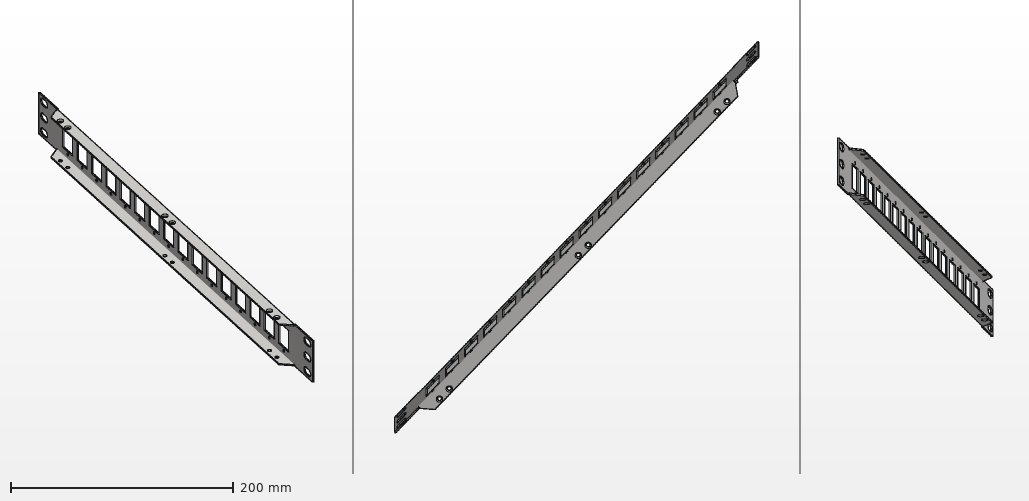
import cadquery as cq

panel_length = 482.5
panel_height = 44.0
sheet = 1.5
rack_inch = panel_length / 19
panel_top = panel_height / 2

flange_reach = 12.5
flange_root_length = 418.5
flange_tip_length = 402.0
bend_radius = 0.5
bend_outer_radius = bend_radius + sheet

window_count = 16
window_pitch = rack_inch
window_width = 17.5
window_height = 23.0
window_drop = 1.5
screw_hole_diameter = 2.5
screw_hole_spacing = 29.5

slots_per_end = 3
slot_length = 12.0
slot_height = 7.0
slot_span = 464.5
slot_pitch = 5 / 8 * rack_inch

pair_offset = 184.5
pair_centres = (-pair_offset, 0, pair_offset)
pair_spacing = 13.0
flange_hole_inset = 4.0
flange_hole_diameter = 3.5
countersink_diameter = 6.0
countersink_angle = 90


def make_panel():
    return cq.Workplane("XY").box(panel_length, sheet, panel_height).translate((0, -sheet / 2, 0))


def window_row():
    """Workplane on the rear face, centred on the window row; it extrudes forward."""
    return cq.Workplane("XZ").center(0, -window_drop)


def make_windows():
    return (
        window_row()
        .rarray(window_pitch, 5, window_count, 1)
        .rect(window_width, window_height)
        .extrude(sheet)
    )


def make_screw_holes():
    return (
        window_row()
        .rarray(window_pitch, screw_hole_spacing, window_count, 2)
        .circle(screw_hole_diameter / 2)
        .extrude(sheet)
    )


def make_rack_slots():
    return (
        cq.Workplane("XZ")
        .rarray(slot_span, slot_pitch, 2, slots_per_end)
        .slot2D(slot_length, slot_height)
        .extrude(sheet)
    )


def make_top_bend_zone():
    """Square bar along the top rear edge that the fold lies in."""
    return (
        cq.Workplane("XY", origin=(0, -bend_outer_radius, panel_top - bend_outer_radius))
        .box(flange_root_length, bend_outer_radius, bend_outer_radius, centered=(True, False, False))
    )


def make_top_bend():
    """Quarter-round fold joining the panel to the top flange."""
    tube = (
        cq.Workplane("YZ", origin=(-flange_root_length / 2, 0, 0))
        .center(-bend_outer_radius, panel_top - bend_outer_radius)
        .circle(bend_outer_radius)
        .circle(bend_radius)
        .extrude(flange_root_length)
    )
    return tube.intersect(make_top_bend_zone())


def make_top_flange():
    """Flat tapered flange with holes countersunk from its outer face."""
    blank = (
        cq.Workplane("XY", origin=(0, 0, panel_top - sheet))
        .polyline([
            (-flange_root_length / 2, -bend_outer_radius),
            (flange_root_length / 2, -bend_outer_radius),
            (flange_tip_length / 2, -flange_reach),
            (-flange_tip_length / 2, -flange_reach),
        ])
        .close()
        .extrude(sheet)
    )
    hole_y = flange_hole_inset - flange_reach
    hole_points = [
        (centre + side * pair_spacing / 2, hole_y)
        for centre in pair_centres
        for side in (-1, 1)
    ]
    return (
        blank.faces(">Z")
        .workplane(origin=(0, 0, panel_top))
        .pushPoints(hole_points)
        .cskHole(flange_hole_diameter, countersink_diameter, countersink_angle)
    )


top_bend_zone = make_top_bend_zone()
top_fold = make_top_flange().union(make_top_bend())

result = (
    make_panel()
    .cut(make_windows())
    .cut(make_screw_holes())
    .cut(make_rack_slots())
    .cut(top_bend_zone)
    .cut(top_bend_zone.mirror("XY"))
    .union(top_fold)
    .union(top_fold.mirror("XY"))
)